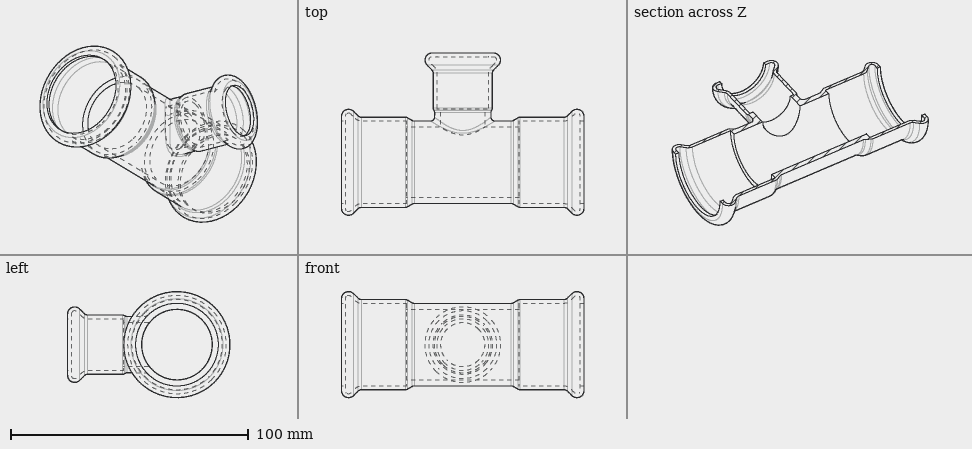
import cadquery as cq
import math


RUN_LENGTH = 102.0
RUN_RIM_RADIUS = 22.3
RUN_SOCKET_RADIUS = 38.0 / 2
RUN_NECK_RADIUS = 34.8 / 2
RUN_BORE_RADIUS = 14.8
RUN_TAPER_START = 27.3

BRANCH_REACH = 46.0
BRANCH_RIM_RADIUS = 15.9
BRANCH_SOCKET_RADIUS = 25.0 / 2
BRANCH_NECK_RADIUS = 23.8 / 2
BRANCH_TAPER_START = 23.6

WALL = 1.6
NECK_WALL = RUN_NECK_RADIUS - RUN_BORE_RADIUS
BRANCH_BORE_RADIUS = BRANCH_NECK_RADIUS - NECK_WALL
RIM_ROUND = 3.01
RIM_ANGLE = math.radians(45)
TAPER_ANGLE = math.radians(30)
RIM_CORNER_ROUND = 1.9
TAPER_CORNER_ROUND = 1.7
JUNCTION_FILLET = 1.6


def rounded_corner(outline, corner, angle_in, angle_out, radius):
    """Run a line up to a corner and round it; both angles are slopes from the axis."""
    turn = angle_out - angle_in
    setback = radius * math.tan(abs(turn) / 2)
    start = (corner[0] - setback * math.cos(angle_in), corner[1] - setback * math.sin(angle_in))
    end = (corner[0] + setback * math.cos(angle_out), corner[1] + setback * math.sin(angle_out))
    bulge = radius / math.cos(turn / 2) - radius
    inward = (angle_in + angle_out) / 2 + math.copysign(math.pi / 2, turn)
    middle = (corner[0] + bulge * math.cos(inward), corner[1] + bulge * math.sin(inward))
    return outline.lineTo(*start).threePointArc(middle, end)


def rim_to_socket(outline, rim_radius, bead_round, socket_radius, corner_round):
    """Trace a rim bead, the cone behind it and the rounded corner onto the socket wall."""
    bead_center = rim_radius - RIM_ROUND
    cone_normal = math.pi / 2 - RIM_ANGLE
    middle_angle = (math.pi + cone_normal) / 2

    def bead_point(angle):
        return (RIM_ROUND + bead_round * math.cos(angle), bead_center + bead_round * math.sin(angle))

    tangent = bead_point(cone_normal)
    cone_run = (tangent[1] - socket_radius) / math.tan(RIM_ANGLE)
    corner = (tangent[0] + cone_run, socket_radius)
    outline = outline.lineTo(*bead_point(math.pi))
    outline = outline.threePointArc(bead_point(middle_angle), tangent)
    return rounded_corner(outline, corner, -RIM_ANGLE, 0, corner_round)


def along_axis(outline, length):
    """Close a half outline down to the axis and revolve it."""
    return outline.lineTo(length, 0).close().revolve(360, (0, 0, 0), (1, 0, 0))


def arm_body(length, rim_radius, socket_radius, neck_radius, taper_start):
    """Solid outside of one arm, with its mouth at the origin and its axis along +X."""
    taper_end = taper_start + (socket_radius - neck_radius) / math.tan(TAPER_ANGLE)
    outline = cq.Workplane("XY").moveTo(0, 0)
    outline = rim_to_socket(outline, rim_radius, RIM_ROUND, socket_radius, RIM_CORNER_ROUND)
    outline = rounded_corner(outline, (taper_start, socket_radius), 0, -TAPER_ANGLE, TAPER_CORNER_ROUND)
    outline = rounded_corner(outline, (taper_end, neck_radius), -TAPER_ANGLE, 0, TAPER_CORNER_ROUND)
    return along_axis(outline.lineTo(length, neck_radius), length)


def arm_cavity(length, rim_radius, socket_radius, bore_radius, stop_depth):
    """Inside of one arm: mouth, seal groove in the rim, socket, pipe stop and bore."""
    inner_radius = socket_radius - WALL
    outline = cq.Workplane("XY").moveTo(0, 0).lineTo(0, inner_radius).lineTo(WALL, inner_radius)
    outline = rim_to_socket(outline, rim_radius, RIM_ROUND - WALL, inner_radius, RIM_CORNER_ROUND + WALL)
    outline = outline.lineTo(stop_depth, inner_radius).lineTo(stop_depth, bore_radius)
    return along_axis(outline.lineTo(length, bore_radius), length)


def place_run(arm):
    """Put an arm at the -X end and mirror it to the +X end."""
    left = arm.translate((-RUN_LENGTH / 2, 0, 0))
    return left.union(left.mirror("YZ"))


def place_branch(arm):
    """Turn an arm so that its mouth faces +Y."""
    return arm.rotate((0, 0, 0), (0, 0, 1), -90).translate((0, BRANCH_REACH, 0))


run_body = place_run(
    arm_body(RUN_LENGTH / 2, RUN_RIM_RADIUS, RUN_SOCKET_RADIUS, RUN_NECK_RADIUS, RUN_TAPER_START)
)
branch_body = place_branch(
    arm_body(BRANCH_REACH, BRANCH_RIM_RADIUS, BRANCH_SOCKET_RADIUS, BRANCH_NECK_RADIUS, BRANCH_TAPER_START)
)
body = run_body.union(branch_body).clean()

junction_zone = cq.selectors.BoxSelector(
    (-BRANCH_NECK_RADIUS, 0, -BRANCH_NECK_RADIUS),
    (BRANCH_NECK_RADIUS, RUN_NECK_RADIUS + JUNCTION_FILLET, BRANCH_NECK_RADIUS),
    boundingbox=False,
)
body = body.edges(junction_zone).edges("not %CIRCLE").edges("not %LINE").fillet(JUNCTION_FILLET)

run_cavity = place_run(
    arm_cavity(RUN_LENGTH / 2, RUN_RIM_RADIUS, RUN_SOCKET_RADIUS, RUN_BORE_RADIUS, RUN_TAPER_START)
)
branch_cavity = place_branch(
    arm_cavity(BRANCH_REACH, BRANCH_RIM_RADIUS, BRANCH_SOCKET_RADIUS, BRANCH_BORE_RADIUS, BRANCH_TAPER_START)
)
result = body.cut(run_cavity).cut(branch_cavity)